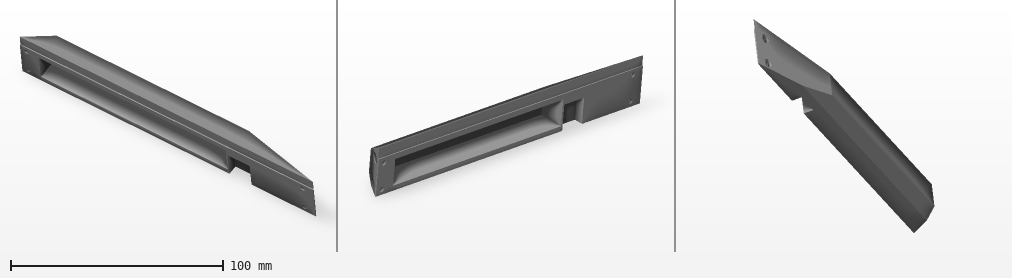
import cadquery as cq
import math

length = 167.4
height = 25.5
depth = 15.5
plate_thickness = 0.5
plate_top_drop = 5.5
tilt = 6.3
cut_overrun = 1.7

back_top_drop = 9.5
back_bottom_drop = 22.3
chamfer_depth = 9.2

back_left_x = 9.7
back_right_x = 119.5

pocket_left_x = 10.7
pocket_right_x = 117.2
pocket_top_drop = 8.5
pocket_bottom_drop = 22.8
pocket_depth = 13.4

notch_left_x = 118.2
notch_right_x = 130.7
notch_top_drop = 11.5
notch_step_drop = 15.5
notch_upper_depth = 3.7
notch_lower_depth = 4.5

hole_diameter = 2.5
counterbore_diameter = 4.5
counterbore_floor_depth = 1.5
hole_columns_x = (3.5, 161.2)
hole_rows_drop = (8.5, 22.6)

tilt_radians = math.radians(tilt)
bottom_drop = (height - plate_thickness * math.sin(tilt_radians)) / math.cos(tilt_radians)


def box(x_range, depth_range, drop_range):
    """Box in the untilted frame: X along the part, Y inward, Z up from the top edge."""
    x0, x1 = x_range
    y0, y1 = depth_range
    drop0, drop1 = drop_range
    size = (x1 - x0, y1 - y0, drop1 - drop0)
    return cq.Workplane("XY").box(*size, centered=False).translate((x0, y0, -drop1))


def make_body():
    """Five-sided bar trimmed by the two slanted ends."""
    section = [
        (0, 0),
        (depth, -back_top_drop),
        (depth, -back_bottom_drop),
        (chamfer_depth, -bottom_drop),
        (0, -bottom_drop),
    ]
    plan = [(0, 0), (length, 0), (back_right_x, depth), (back_left_x, depth)]
    bar = cq.Workplane("YZ").polyline(section).close().extrude(length)
    plan_prism = cq.Workplane("XY").polyline(plan).close().extrude(-bottom_drop)
    return bar.intersect(plan_prism)


def make_plate():
    """Thin square-ended plate on the lower part of the front face."""
    return box((0, length), (-plate_thickness, 0), (plate_top_drop, bottom_drop))


def make_pocket():
    return box(
        (pocket_left_x, pocket_right_x),
        (-plate_thickness, pocket_depth),
        (pocket_top_drop, pocket_bottom_drop),
    )


def make_notch():
    """Shallower upper step above a deeper opening through the bottom."""
    x_range = (notch_left_x, notch_right_x)
    upper = box(x_range, (-plate_thickness, notch_upper_depth), (notch_top_drop, notch_step_drop))
    lower_drops = (notch_step_drop, bottom_drop + cut_overrun)
    lower = box(x_range, (-plate_thickness, notch_lower_depth), lower_drops)
    return upper.union(lower)


def make_rod(x, drop, diameter, start_depth):
    """Cylinder running inward from the start depth and out through the back."""
    rod_length = depth + cut_overrun - start_depth
    start = cq.Vector(x, start_depth, -drop)
    return cq.Solid.makeCylinder(diameter / 2, rod_length, start, cq.Vector(0, 1, 0))


part = make_body().union(make_plate()).cut(make_pocket()).cut(make_notch())

for hole_x in hole_columns_x:
    for hole_drop in hole_rows_drop:
        part = part.cut(make_rod(hole_x, hole_drop, hole_diameter, -plate_thickness))
        part = part.cut(make_rod(hole_x, hole_drop, counterbore_diameter, counterbore_floor_depth))

result = part.rotate((0, 0, 0), (1, 0, 0), tilt).translate((0, 0, height))